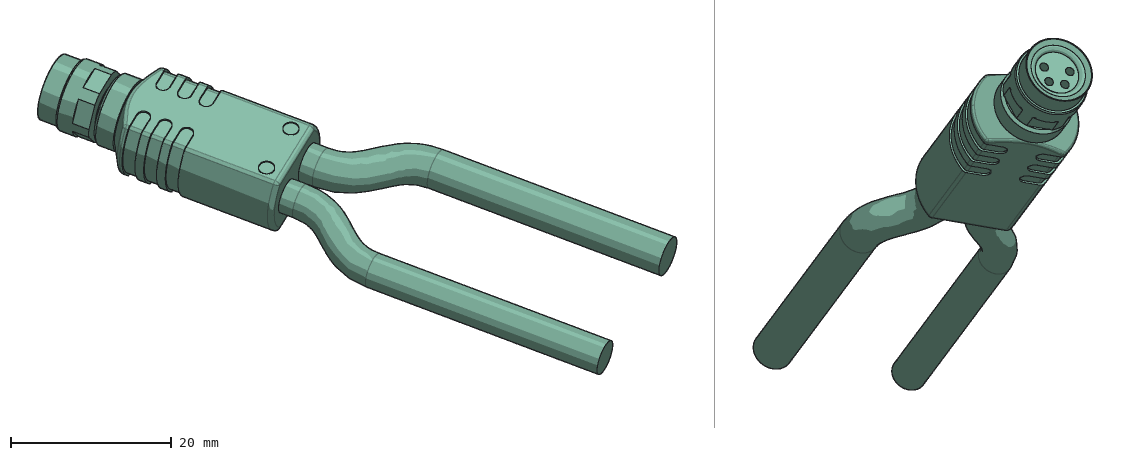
import cadquery as cq
import math

TOTAL_LENGTH = 80.7
OVERALL_WIDTH = 22.8
PLUG_DIAMETER = 9.6
PLUG_RADIUS = PLUG_DIAMETER / 2

NUT_TIP_DIAMETER = 8.8
NUT_TIP_LENGTH = 2.7
NUT_LENGTH = 7.3
NUT_STEP_DIAMETER = 9.4
NUT_BEVEL_LENGTH = 0.25
FLAT_COUNT = 6
FLAT_START = 5.0
FLAT_WIDTH = 3.4

BORE_DIAMETER = 7.2
INSERT_DIAMETER = 5.7
MOUTH_DIAMETER = 8.55
MOUTH_DEPTH = 0.3
INSERT_DEPTH = 0.8
PIN_DIAMETER = 1.1
PIN_DEPTH = 2.4
UPPER_PINS = (1.7, 0.5)
LOWER_PINS = (1.05, -1.45)

NECK_DIAMETER = 5.9
NECK_FILLET = 0.3
RING_START = 7.8
RING_CHAMFER = 0.4
RING_END = 10.65

BODY_END = 33.7
BODY_WIDTH = 14.2
FLAT_TOP_WIDTH = 10.3
SHOULDER_START = 10.4
SHOULDER_START_DIAMETER = 8.1
SHOULDER_LENGTH = 1.9
FRONT_EDGE_FILLET = 0.6
LONG_EDGE_FILLET = 0.65
REAR_EDGE_FILLET = 0.65

GROOVE_COUNT = 3
GROOVE_FIRST = 13.9
GROOVE_PITCH = 3.0
GROOVE_WIDTH = 1.8
GROOVE_DEPTH = 0.25
GROOVE_INNER_END = 1.9

MARKER_DIAMETER = 2.0
MARKER_DEPTH = 0.2
MARKER_X = 31.2
MARKER_Y = 3.5

CABLE_DIAMETERS = {1: 5.2, -1: 4.5}
CABLE_EXIT_Y = 3.0
CABLE_END_Y = (OVERALL_WIDTH - sum(CABLE_DIAMETERS.values()) / 2) / 2
BEND_START = 35.7
BEND_END = 48.7


def rod(diameter, start, end, y=0.0, z=0.0):
    """Cylinder along X between two stations."""
    return cq.Workplane("YZ", origin=(start, y, z)).circle(diameter / 2).extrude(end - start)


def make_plug():
    """Coupling nut, neck and ring turned about the X axis."""
    tip_radius = NUT_TIP_DIAMETER / 2
    neck_radius = NECK_DIAMETER / 2
    ring_face_radius = PLUG_RADIUS - RING_CHAMFER
    plug = (
        cq.Workplane("XY")
        .moveTo(0, 0)
        .lineTo(0, tip_radius)
        .lineTo(NUT_TIP_LENGTH, tip_radius)
        .lineTo(NUT_TIP_LENGTH, NUT_STEP_DIAMETER / 2)
        .lineTo(NUT_TIP_LENGTH + NUT_BEVEL_LENGTH, PLUG_RADIUS)
        .lineTo(NUT_LENGTH, PLUG_RADIUS)
        .lineTo(NUT_LENGTH, neck_radius)
        .lineTo(RING_START - NECK_FILLET, neck_radius)
        .tangentArcPoint((NECK_FILLET, NECK_FILLET))
        .lineTo(RING_START, ring_face_radius)
        .lineTo(RING_START + RING_CHAMFER, PLUG_RADIUS)
        .lineTo(RING_END, PLUG_RADIUS)
        .lineTo(RING_END, 0)
        .close()
        .revolve(360, (0, 0, 0), (1, 0, 0))
    )
    return plug.cut(make_wrench_flats())


def make_wrench_flats():
    """Blocks that cut evenly spaced flats into the rear of the nut."""
    flat_distance = math.sqrt(PLUG_RADIUS**2 - (FLAT_WIDTH / 2) ** 2)
    block = cq.Workplane("XY", origin=(FLAT_START, 0, flat_distance)).box(
        NUT_LENGTH - FLAT_START, FLAT_WIDTH, PLUG_RADIUS, centered=(False, True, False)
    )
    flats = block
    for index in range(1, FLAT_COUNT):
        flats = flats.union(block.rotate((0, 0, 0), (1, 0, 0), index * 360 / FLAT_COUNT))
    return flats


def body_prism(start, end, inset=0.0):
    """Body cross-section, moved inwards by the inset, drawn out along X."""
    flat_half = FLAT_TOP_WIDTH / 2 - inset
    half_width = BODY_WIDTH / 2 - inset
    half_height = PLUG_RADIUS - inset
    return (
        cq.Workplane("YZ", origin=(start, 0, 0))
        .moveTo(-flat_half, half_height)
        .lineTo(flat_half, half_height)
        .threePointArc((half_width, 0), (flat_half, -half_height))
        .lineTo(-flat_half, -half_height)
        .threePointArc((-half_width, 0), (-flat_half, half_height))
        .close()
        .extrude(end - start)
        .edges("|X")
        .fillet(LONG_EDGE_FILLET)
    )


def make_body():
    """Body with a conical front shoulder and rounded edges."""
    prism = body_prism(SHOULDER_START, BODY_END).faces(">X").edges().fillet(REAR_EDGE_FILLET)
    wide_radius = BODY_WIDTH / 2
    shoulder_end = SHOULDER_START + SHOULDER_LENGTH
    envelope = (
        cq.Workplane("XY")
        .polyline([
            (SHOULDER_START, 0),
            (SHOULDER_START, SHOULDER_START_DIAMETER / 2),
            (shoulder_end, wide_radius),
            (BODY_END, wide_radius),
            (BODY_END, 0),
        ])
        .close()
        .revolve(360, (0, 0, 0), (1, 0, 0))
    )
    body = prism.intersect(envelope)
    return body.faces("%CONE").edges("not(<X)").fillet(FRONT_EDGE_FILLET)


def make_grip_grooves():
    """Shallow grooves around each side, with round ends on the top and bottom faces."""
    slot_centre = GROOVE_INNER_END + BODY_WIDTH / 2
    centres = [
        (GROOVE_FIRST + index * GROOVE_PITCH, side * slot_centre)
        for index in range(GROOVE_COUNT)
        for side in (1, -1)
    ]
    slots = (
        cq.Workplane("XY", origin=(0, 0, -PLUG_DIAMETER))
        .pushPoints(centres)
        .slot2D(BODY_WIDTH, GROOVE_WIDTH, 90)
        .extrude(2 * PLUG_DIAMETER)
    )
    return slots.cut(body_prism(SHOULDER_START, BODY_END, GROOVE_DEPTH))


def make_cable(side):
    """Cable that leaves the body, swings outwards in an S-bend and runs straight to its end."""
    exit_y = side * CABLE_EXIT_Y
    end_y = side * CABLE_END_Y
    root_x = BODY_END - REAR_EDGE_FILLET
    path = (
        cq.Workplane("XY")
        .moveTo(root_x, exit_y)
        .lineTo(BEND_START, exit_y)
        .spline([(BEND_END, end_y)], tangents=[(1, 0), (1, 0)], includeCurrent=True)
        .lineTo(TOTAL_LENGTH, end_y)
    )
    section = cq.Workplane("YZ", origin=(root_x, exit_y, 0))
    return section.circle(CABLE_DIAMETERS[side] / 2).sweep(path)


def make_socket():
    """Conical mouth, rounded lip and contact holes of the mating face."""
    bore_radius = BORE_DIAMETER / 2
    insert_radius = INSERT_DIAMETER / 2
    lip_depth = INSERT_DEPTH - MOUTH_DEPTH
    lip_width = bore_radius - insert_radius
    lip_middle = (
        INSERT_DEPTH - lip_depth * math.sin(math.pi / 4),
        bore_radius - lip_width * math.cos(math.pi / 4),
    )
    mouth = (
        cq.Workplane("XY")
        .moveTo(0, 0)
        .lineTo(0, MOUTH_DIAMETER / 2)
        .lineTo(MOUTH_DEPTH, bore_radius)
        .threePointArc(lip_middle, (INSERT_DEPTH, insert_radius))
        .lineTo(INSERT_DEPTH, 0)
        .close()
        .revolve(360, (0, 0, 0), (1, 0, 0))
    )
    socket = mouth
    for y, z in (UPPER_PINS, LOWER_PINS):
        for side in (1, -1):
            socket = socket.union(rod(PIN_DIAMETER, 0, INSERT_DEPTH + PIN_DEPTH, side * y, z))
    return socket


def make_markers():
    """Round recesses near the cable exits."""
    return (
        cq.Workplane("XY", origin=(0, 0, PLUG_RADIUS - MARKER_DEPTH))
        .pushPoints([(MARKER_X, MARKER_Y), (MARKER_X, -MARKER_Y)])
        .circle(MARKER_DIAMETER / 2)
        .extrude(2 * MARKER_DEPTH)
    )


housing = make_plug().union(make_body())
housing = housing.cut(make_grip_grooves()).cut(make_socket()).cut(make_markers())
result = housing.union(make_cable(1)).union(make_cable(-1))